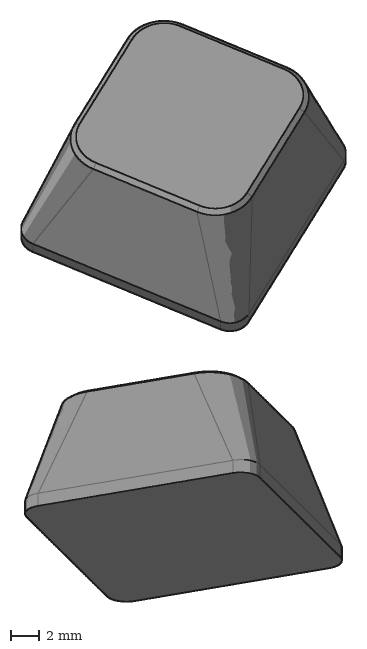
import cadquery as cq

base_side = 18
base_radius = 1.5
skirt_height = 1.0

height = 9
rim_side = 14.15
rim_radius = 2.93
top_shift = 0.97
bevel_width = 0.4
bevel_height = 0.27


def rounded_square(side, radius, center_y, z):
    """Wire of a square with rounded corners, lying flat at height z."""
    sheet = cq.Sketch().rect(side, side).vertices().fillet(radius)
    placed = cq.Workplane(origin=(0, center_y, z)).placeSketch(sheet).extrude(side)
    return placed.faces("<Z").val().outerWire()


def tapered_layer(lower, upper):
    """Solid with straight sides between two outlines."""
    return cq.Workplane(cq.Solid.makeLoft([lower, upper], True))


base_outline = rounded_square(base_side, base_radius, 0, 0)
skirt_outline = rounded_square(base_side, base_radius, 0, skirt_height)
rim_outline = rounded_square(rim_side, rim_radius, top_shift, height - bevel_height)
top_outline = rounded_square(
    rim_side - 2 * bevel_width, rim_radius - bevel_width, top_shift, height
)

skirt = tapered_layer(base_outline, skirt_outline)
body = tapered_layer(skirt_outline, rim_outline)
bevel = tapered_layer(rim_outline, top_outline)

result = skirt.union(body).union(bevel)